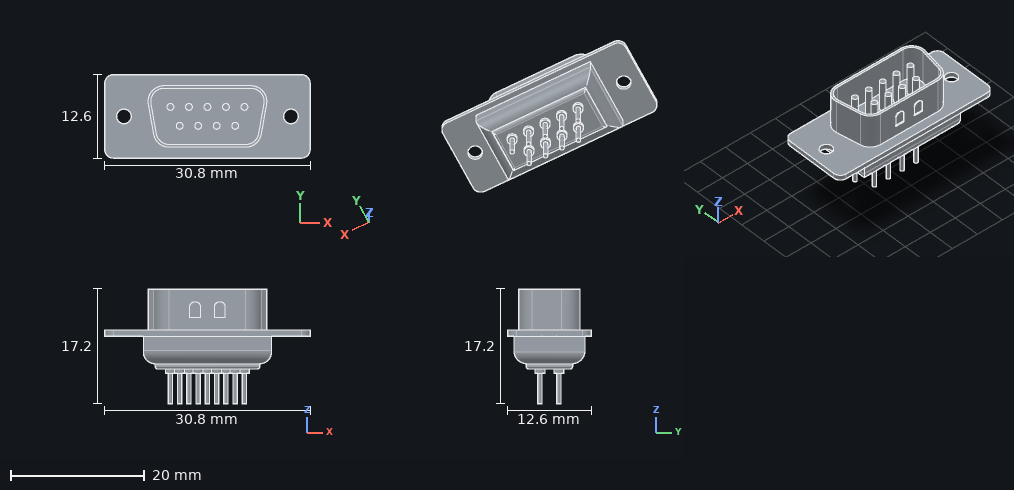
import cadquery as cq
import math

flange_length = 30.8
flange_width = 12.55
flange_thickness = 0.95
flange_corner_radius = 1.32
mount_hole_diameter = 2.15
mount_hole_spacing = 25.02

shell_height = 6.13
shell_width = 9.2
shell_mid_length = 17.07
shell_side_angle = 10.0
shell_corner_radius = 2.37
shell_wall = 0.4

window_width = 1.63
window_height = 2.35
window_arch_radius = 0.75
window_sill = 1.85
window_spacing = 3.7
window_depth = 0.2

housing_length = 19.23
housing_width = 10.7
housing_depth = 4.13
housing_end_radius = 1.8
housing_side_radius = 2.0
step_length = 15.7
step_width = 7.0
step_depth = 0.8
step_edge_radius = 0.45

pin_pitch = 2.77
row_spacing = 2.83
back_row_count = 5
front_row_count = 4
pin_diameter = 1.02
pin_height = 5.35
collar_diameter = 1.5
collar_height = 0.62
tail_diameter = 0.68

overall_height = 17.2

flange_bottom_z = -flange_thickness
housing_bottom_z = flange_bottom_z - housing_depth
step_bottom_z = housing_bottom_z - step_depth
collar_bottom_z = step_bottom_z - collar_height
tail_bottom_z = shell_height - overall_height


def make_flange():
    plate = (
        cq.Workplane("XY", origin=(0, 0, flange_bottom_z))
        .rect(flange_length, flange_width)
        .extrude(flange_thickness)
        .edges("|Z")
        .fillet(flange_corner_radius)
    )
    return (
        plate.faces(">Z")
        .workplane()
        .pushPoints([(-mount_hole_spacing / 2, 0), (mount_hole_spacing / 2, 0)])
        .hole(mount_hole_diameter)
    )


def d_prism(inset):
    """D-shaped prism of shell height, its outline moved inward by inset."""
    slope = math.radians(shell_side_angle)
    half_width = shell_width / 2 - inset
    half_mid = shell_mid_length / 2 - inset / math.cos(slope)
    flare = half_width * math.tan(slope)
    corners = [
        (-half_mid - flare, half_width),
        (half_mid + flare, half_width),
        (half_mid - flare, -half_width),
        (-half_mid + flare, -half_width),
    ]
    return (
        cq.Workplane("XY")
        .polyline(corners)
        .close()
        .extrude(shell_height)
        .edges("|Z")
        .fillet(shell_corner_radius - inset)
    )


def make_window(x):
    """Arched cutter that sinks into the front face of the shell."""
    block = cq.Workplane("XY").box(
        window_width, window_depth, window_height, centered=(True, False, False)
    )
    arched = block.edges("|Y and >Z").fillet(window_arch_radius)
    return arched.translate((x, -shell_width / 2, window_sill))


def make_shell():
    shell = d_prism(0).cut(d_prism(shell_wall))
    for side in (-1, 1):
        shell = shell.cut(make_window(side * window_spacing / 2))
    return shell


def make_housing():
    """Block with two different lower edge radii, made by crossing two rounded bars."""
    block = cq.Workplane("XY", origin=(0, 0, housing_bottom_z)).box(
        housing_length, housing_width, housing_depth, centered=(True, True, False)
    )
    end_rounded = block.edges("|Y and <Z").fillet(housing_end_radius)
    side_rounded = block.edges("|X and <Z").fillet(housing_side_radius)
    return end_rounded.intersect(side_rounded)


def make_step():
    return (
        cq.Workplane("XY", origin=(0, 0, step_bottom_z))
        .rect(step_length, step_width)
        .extrude(flange_bottom_z - step_bottom_z)
        .edges("<Z")
        .fillet(step_edge_radius)
    )


def round_bar(points, diameter, bottom_z, top_z):
    return (
        cq.Workplane("XY", origin=(0, 0, bottom_z))
        .pushPoints(points)
        .circle(diameter / 2)
        .extrude(top_z - bottom_z)
    )


def row_points(count, y):
    return [((i - (count - 1) / 2) * pin_pitch, y) for i in range(count)]


back_row = row_points(back_row_count, row_spacing / 2)
front_row = row_points(front_row_count, -row_spacing / 2)
contact_points = back_row + front_row

result = (
    make_flange()
    .union(make_shell())
    .union(make_housing())
    .union(make_step())
    .union(round_bar(contact_points, pin_diameter, flange_bottom_z, pin_height))
    .union(round_bar(contact_points, collar_diameter, collar_bottom_z, housing_bottom_z))
    .union(round_bar(contact_points, tail_diameter, tail_bottom_z, housing_bottom_z))
)